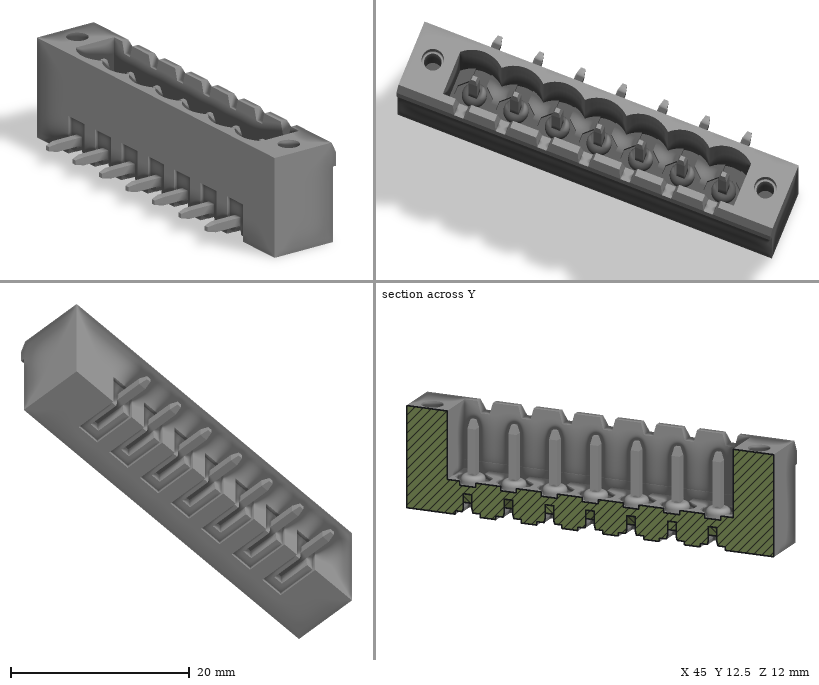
import cadquery as cq

length = 45.0
height = 12.0
depth = 8.1
contact_count = 7
pitch = length / (contact_count + 2)
contact_y = 3.8
contact_xs = [pitch * (i - (contact_count - 1) / 2) for i in range(contact_count)]
screw_x = pitch * (contact_count + 1) / 2
screw_xs = [-screw_x, screw_x]

lip_back_y = 8.5
lip_bottom_z = 9.1
lip_corner_z = 10.7
lip_crest_y = 7.88

cavity_width = contact_count * pitch
cavity_back_y = 7.0
cavity_cusp_y = 1.8
cavity_front_y = 0.8
cavity_floor_z = 4.0
ledge_width = 0.15
ledge_top_z = 5.0
ledge_front_y = cavity_back_y - ledge_width

notch_top_width = 1.9
notch_bottom_width = 1.1
notch_floor_z = 10.6

recess_depth = 0.5
recess_floor_z = cavity_floor_z - recess_depth
recess_width = 4.25
recess_side_front_y = 3.45
recess_side_back_y = 4.55
front_neck_width = notch_top_width
front_neck_y = 2.4
back_neck_width = notch_bottom_width
back_neck_y = 5.75

collar_diameter = 2.8
collar_height = 1.0
collar_round = 0.6

pin_size = 1.0
pin_point_size = 0.55
pin_point_length = 1.0
pin_tail_z = 2.02
pin_tail_end_y = -4.0
pin_top_z = 10.9

pocket_width = 3.0
pocket_height = 4.5
pocket_depth = 0.4
channel_height = 0.4
slot_back_y = contact_y + pin_size / 2
channel_back_y = contact_y + pocket_width / 2
slot_mouth_width = 1.25
slot_lead_in = 0.5

insert_diameter = 2.5
insert_bore = 2.0
insert_length = 4.0
insert_sink = 1.0


def box(width, y_range, z_range):
    """Box centred on x = 0."""
    y_low, y_high = y_range
    z_low, z_high = z_range
    corner_plane = cq.Workplane("XY", origin=(0, y_low, z_low))
    return corner_plane.box(width, y_high - y_low, z_high - z_low, centered=(True, False, False))


def extrude_along_y(points, y_low, y_high):
    """Outline of (x, z) points, extruded from y_low to y_high."""
    return cq.Workplane("XZ", origin=(0, y_low, 0)).polyline(points).close().extrude(y_low - y_high)


def make_shell():
    """Solid block with the latching lip, before any openings are cut."""
    side_outline = [
        (0, 0),
        (depth, 0),
        (depth, lip_bottom_z),
        (lip_back_y, lip_bottom_z),
        (lip_back_y, lip_corner_z),
        (lip_crest_y, height),
        (0, height),
    ]
    return cq.Workplane("YZ", origin=(-length / 2, 0, 0)).polyline(side_outline).close().extrude(length)


def make_scalloped_block(centre_xs, back_y, z_range):
    """Block with one scallop per centre along its front and a flat back."""
    bottom_z, top_z = z_range
    left_x = centre_xs[0] - pitch / 2
    right_x = centre_xs[-1] + pitch / 2
    outline = cq.Workplane("XY", origin=(0, 0, bottom_z)).moveTo(left_x, cavity_cusp_y)
    for x in centre_xs:
        outline = outline.threePointArc((x, cavity_front_y), (x + pitch / 2, cavity_cusp_y))
    outline = outline.lineTo(right_x, back_y).lineTo(left_x, back_y)
    return outline.close().extrude(top_z - bottom_z)


def make_cavity():
    """Plug cavity with a scalloped front wall and a narrow ledge at the foot of its rear wall."""
    cavity = make_scalloped_block(contact_xs, cavity_back_y, (cavity_floor_z, height))
    ledge = box(cavity_width, (ledge_front_y, cavity_back_y), (cavity_floor_z, ledge_top_z))
    return cavity.cut(ledge)


def make_notch():
    """Coding notch, narrower at its floor, cut through the rear wall."""
    outline = [
        (-notch_bottom_width / 2, notch_floor_z),
        (notch_bottom_width / 2, notch_floor_z),
        (notch_top_width / 2, height),
        (-notch_top_width / 2, height),
    ]
    return extrude_along_y(outline, cavity_back_y, lip_back_y)


def make_recess():
    """Recess in the cavity floor: an octagon with a neck to the front wall and one to the rear wall."""
    right_side = [
        (front_neck_width / 2, cavity_front_y),
        (front_neck_width / 2, front_neck_y),
        (recess_width / 2, recess_side_front_y),
        (recess_width / 2, recess_side_back_y),
        (back_neck_width / 2, back_neck_y),
        (back_neck_width / 2, ledge_front_y),
    ]
    left_side = [(-x, y) for x, y in reversed(right_side)]
    plane = cq.Workplane("XY", origin=(0, 0, recess_floor_z))
    octagon = plane.polyline(right_side + left_side).close().extrude(recess_depth)
    return octagon.intersect(make_scalloped_block([0], ledge_front_y, (recess_floor_z, cavity_floor_z)))


def make_collar():
    """Collar with a rounded shoulder, standing on the recess floor."""
    collar = cq.Workplane("XY", origin=(0, contact_y, recess_floor_z)).circle(collar_diameter / 2)
    return collar.extrude(collar_height).faces(">Z").edges().fillet(collar_round)


def make_pocket():
    """Shallow front pocket, the channel under the pin and the slot the pin is pushed in through."""
    pocket = box(pocket_width, (0, pocket_depth), (0, pocket_height))
    channel = box(pocket_width, (0, channel_back_y), (0, channel_height))
    slot_outline = [
        (-slot_mouth_width / 2, channel_height),
        (slot_mouth_width / 2, channel_height),
        (pin_size / 2, channel_height + slot_lead_in),
        (pin_size / 2, pin_tail_z + pin_size / 2),
        (-pin_size / 2, pin_tail_z + pin_size / 2),
        (-pin_size / 2, channel_height + slot_lead_in),
    ]
    slot = extrude_along_y(slot_outline, 0, slot_back_y)
    return pocket.union(channel).union(slot)


def make_pointed_bar(bar_length):
    """Square bar standing on z = 0, its top drawn in to a blunt point."""
    shoulder_z = bar_length - pin_point_length
    shaft = cq.Workplane("XY").rect(pin_size, pin_size).extrude(shoulder_z)
    point = cq.Workplane("XY", origin=(0, 0, shoulder_z)).rect(pin_size, pin_size)
    point = point.workplane(offset=pin_point_length).rect(pin_point_size, pin_point_size).loft()
    return shaft.union(point)


def make_pin():
    """Right-angled pin: an upright contact and a tail that runs forward, at x = 0."""
    heel_y = contact_y + pin_size / 2
    heel_z = pin_tail_z - pin_size / 2
    contact = make_pointed_bar(pin_top_z - heel_z).translate((0, contact_y, heel_z))
    tail = make_pointed_bar(heel_y - pin_tail_end_y).rotate((0, 0, 0), (1, 0, 0), 90)
    return contact.union(tail.translate((0, heel_y, pin_tail_z)))


def make_insert():
    """Threaded insert: a plain sleeve centred on x = 0."""
    bottom_z = height - insert_sink - insert_length
    sleeve = cq.Workplane("XY", origin=(0, contact_y, bottom_z))
    return sleeve.circle(insert_diameter / 2).circle(insert_bore / 2).extrude(insert_length)


def make_insert_hole():
    """Blind hole that holds an insert."""
    hole_depth = insert_sink + insert_length
    hole = cq.Workplane("XY", origin=(0, contact_y, height - hole_depth))
    return hole.circle(insert_diameter / 2).extrude(hole_depth)


def make_housing(pin):
    """Housing with every opening cut and a collar around each contact."""
    body = make_shell().cut(make_cavity())
    for x in contact_xs:
        place = (x, 0, 0)
        body = body.cut(make_notch().translate(place))
        body = body.cut(make_recess().translate(place))
        body = body.union(make_collar().translate(place))
        body = body.cut(make_pocket().translate(place))
        body = body.cut(pin.translate(place))
    for x in screw_xs:
        body = body.cut(make_insert_hole().translate((x, 0, 0)))
    return body


pin = make_pin()
insert = make_insert()
housing = make_housing(pin)
pins = [pin.translate((x, 0, 0)).val() for x in contact_xs]
inserts = [insert.translate((x, 0, 0)).val() for x in screw_xs]

result = cq.Compound.makeCompound([housing.val(), *pins, *inserts])